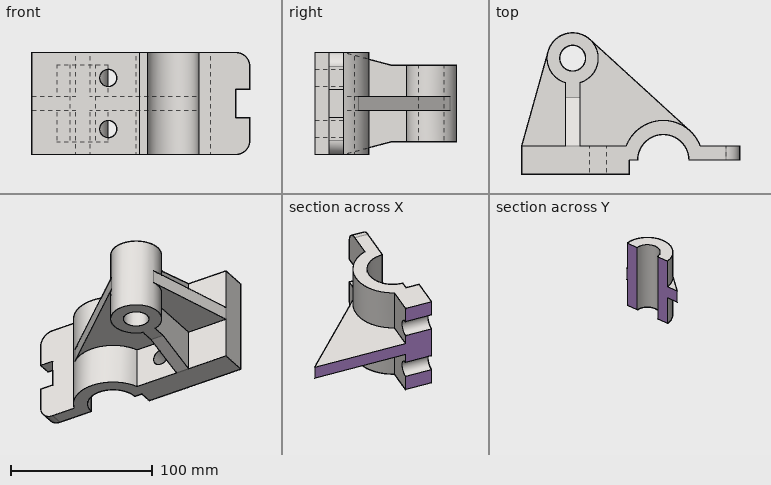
import cadquery as cq
import math


length = 154.0
height = 72.0
wall = 10.0

plate_length = 76.0
plate_depth = 2 * wall
bolt_x = 54.0
bolt_spacing = 36.0
bolt_diameter = 12.0

bearing_x = 100.0
bearing_y = plate_depth - wall
bearing_bore_radius = 18.0
bearing_radius = bearing_bore_radius + wall

corner_radius = wall
slot_depth = wall
slot_width = 2 * wall

boss_x = 36.0
boss_y = 82.0
boss_radius = 18.0
boss_bore_radius = boss_radius / 2
boss_height = 54.0

rib_taper_end = 54.0


def box(x_min, x_max, y_min, y_max, z_size):
    """Box with given X and Y limits, centred on Z = 0."""
    return (
        cq.Workplane("XY")
        .box(x_max - x_min, y_max - y_min, z_size, centered=(False, False, True))
        .translate((x_min, y_min, 0))
    )


def cylinder(x, y, radius, z_size):
    """Cylinder along Z, centred on Z = 0."""
    return cq.Workplane("XY", origin=(x, y, -z_size / 2)).circle(radius).extrude(z_size)


def make_plate():
    return box(0, plate_length, 0, plate_depth, height)


def make_flange():
    flange = box(plate_length, length, bearing_y, plate_depth, height)
    flange = flange.edges("|Y and >X").fillet(corner_radius)
    return flange.cut(box(length - slot_depth, length, bearing_y, plate_depth, slot_width))


def make_bearing():
    upper_half = box(
        bearing_x - bearing_radius, bearing_x + bearing_radius,
        bearing_y, bearing_y + bearing_radius, height,
    )
    return cylinder(bearing_x, bearing_y, bearing_radius, height).intersect(upper_half)


def make_rib():
    """Upright rib from the plate to the boss, tapering in height."""
    return (
        cq.Workplane("YZ", origin=(boss_x, 0, 0))
        .moveTo(plate_depth, -height / 2)
        .lineTo(rib_taper_end, -boss_height / 2)
        .lineTo(boss_y, -boss_height / 2)
        .lineTo(boss_y, boss_height / 2)
        .lineTo(rib_taper_end, boss_height / 2)
        .lineTo(plate_depth, height / 2)
        .close()
        .extrude(wall / 2, both=True)
    )


def make_web():
    """Mid-height web with edges tangent to the boss and to the bearing."""
    corner_dx = -boss_x
    corner_dy = plate_depth - boss_y
    corner_distance = math.hypot(corner_dx, corner_dy)
    left_angle = math.atan2(corner_dy, corner_dx) - math.acos(boss_radius / corner_distance)

    axis_dx = bearing_x - boss_x
    axis_dy = bearing_y - boss_y
    axis_distance = math.hypot(axis_dx, axis_dy)
    right_angle = math.atan2(axis_dy, axis_dx) + math.acos(
        (boss_radius - bearing_radius) / axis_distance
    )

    def on_circle(x, y, radius, angle):
        return (x + radius * math.cos(angle), y + radius * math.sin(angle))

    outline = [
        (0, plate_depth),
        on_circle(boss_x, boss_y, boss_radius, left_angle),
        on_circle(boss_x, boss_y, boss_radius, right_angle),
        on_circle(bearing_x, bearing_y, bearing_radius, right_angle),
        (bearing_x, plate_depth),
    ]
    return cq.Workplane("XY").polyline(outline).close().extrude(wall / 2, both=True)


def make_bolt_holes():
    return (
        cq.Workplane("XZ")
        .pushPoints([(bolt_x, -bolt_spacing / 2), (bolt_x, bolt_spacing / 2)])
        .circle(bolt_diameter / 2)
        .extrude(-plate_depth)
    )


body = (
    make_plate()
    .union(make_flange())
    .union(make_bearing())
    .union(make_web())
    .union(make_rib())
    .union(cylinder(boss_x, boss_y, boss_radius, boss_height))
)

result = (
    body.cut(cylinder(bearing_x, bearing_y, bearing_bore_radius, height))
    .cut(cylinder(boss_x, boss_y, boss_bore_radius, boss_height))
    .cut(make_bolt_holes())
)